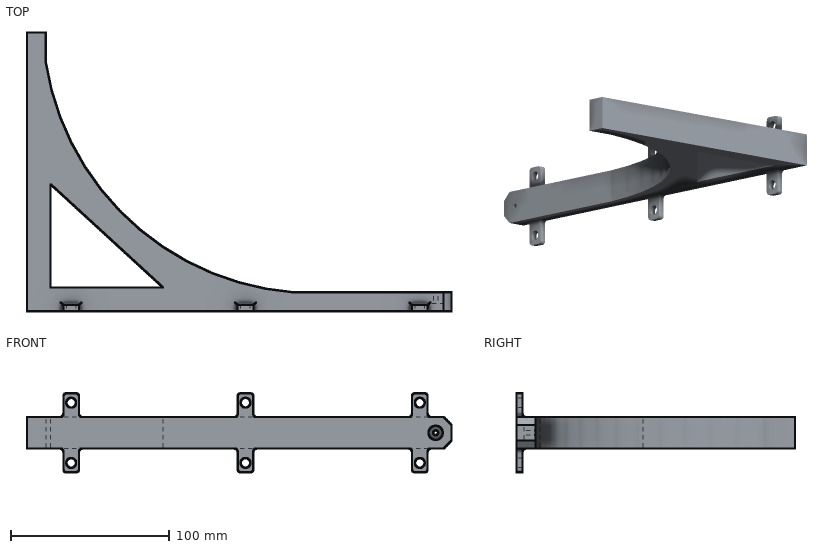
import cadquery as cq
import math

LONG_LEG = 267.92
SHORT_LEG = 176.0
LEG_THICKNESS = 12.0
BEAM_HEIGHT = 20.0
HALF_HEIGHT = BEAM_HEIGHT / 2

ARC_CENTER_X = 181.5
ARC_CENTER_Y = 183.0
ARC_RADIUS = 171.5

WINDOW_OFFSET = 15.0
WINDOW_LENGTH_X = 70.8
WINDOW_LENGTH_Y = 65.0

TIP_CHAMFER = 5.0
TIP_HOLE_FROM_END = 10.0
TIP_HOLE_DIAMETER = 3.0
COUNTERBORE_DIAMETER = 9.0
COUNTERBORE_DEPTH = 5.0

TAB_FIRST_X = 27.9
TAB_SPACING = 110.0
TAB_COUNT = 3
TAB_WIDTH = 10.0
TAB_SPAN = 50.0
TAB_THICKNESS = 4.0
TAB_CORNER_RADIUS = 2.0
TAB_ROOT_RADIUS = 2.0
TAB_HOLE_DIAMETER = 6.0
TAB_HOLE_Z = 19.0

TAB_POSITIONS = [TAB_FIRST_X + i * TAB_SPACING for i in range(TAB_COUNT)]


def make_frame():
    """L-shaped body with the concave arc between its legs."""
    arc_start_x = ARC_CENTER_X - math.sqrt(ARC_RADIUS**2 - (ARC_CENTER_Y - LEG_THICKNESS) ** 2)
    arc_end_y = ARC_CENTER_Y - math.sqrt(ARC_RADIUS**2 - (ARC_CENTER_X - LEG_THICKNESS) ** 2)
    diagonal = ARC_RADIUS * math.sqrt(0.5)
    return (
        cq.Workplane("XY", origin=(0, 0, -HALF_HEIGHT))
        .lineTo(LONG_LEG, 0)
        .lineTo(LONG_LEG, LEG_THICKNESS)
        .lineTo(arc_start_x, LEG_THICKNESS)
        .threePointArc((ARC_CENTER_X - diagonal, ARC_CENTER_Y - diagonal), (LEG_THICKNESS, arc_end_y))
        .lineTo(LEG_THICKNESS, SHORT_LEG)
        .lineTo(0, SHORT_LEG)
        .close()
        .extrude(BEAM_HEIGHT)
        .edges("|Y and >X")
        .chamfer(TIP_CHAMFER)
    )


def make_window():
    """Triangular prism removed from the web."""
    return (
        cq.Workplane("XY", origin=(WINDOW_OFFSET, WINDOW_OFFSET, -HALF_HEIGHT))
        .lineTo(WINDOW_LENGTH_X, 0)
        .lineTo(0, WINDOW_LENGTH_Y)
        .close()
        .extrude(BEAM_HEIGHT)
    )


def make_tab_pair(x):
    """Upright plate flush with the Y = 0 face; its ends form the upper and lower tab."""
    return (
        cq.Workplane("XY")
        .box(TAB_WIDTH, TAB_THICKNESS, TAB_SPAN, centered=(True, False, True))
        .edges("|Y")
        .fillet(TAB_CORNER_RADIUS)
        .translate((x, 0, 0))
    )


def fillet_tab_roots(body):
    """Round the sides and back of every tab where it meets the long leg."""
    margin = 0.1
    roots = cq.Workplane("XY")
    for x in TAB_POSITIONS:
        for z in (-HALF_HEIGHT, HALF_HEIGHT):
            root_zone = cq.selectors.BoxSelector(
                (x - TAB_WIDTH / 2 - margin, margin, z - margin),
                (x + TAB_WIDTH / 2 + margin, TAB_THICKNESS + margin, z + margin),
            )
            roots = roots.add(body.edges(root_zone))
    return body.newObject(roots.vals()).fillet(TAB_ROOT_RADIUS)


def cut_tab_holes(body):
    """Drill one hole through each tab along Y."""
    centers = [(x, z) for x in TAB_POSITIONS for z in (-TAB_HOLE_Z, TAB_HOLE_Z)]
    drills = cq.Workplane("XZ").pushPoints(centers).circle(TAB_HOLE_DIAMETER / 2).extrude(-TAB_THICKNESS)
    return body.cut(drills)


def cut_tip_hole(body):
    """Stepped hole along Y near the tip, its wide end on the Y = 0 face."""
    hole_plane = cq.Workplane("XZ", origin=(LONG_LEG - TIP_HOLE_FROM_END, 0, 0))
    through_hole = hole_plane.circle(TIP_HOLE_DIAMETER / 2).extrude(-LEG_THICKNESS)
    counterbore = hole_plane.circle(COUNTERBORE_DIAMETER / 2).extrude(-COUNTERBORE_DEPTH)
    return body.cut(through_hole).cut(counterbore)


bracket = make_frame().cut(make_window())
for tab_x in TAB_POSITIONS:
    bracket = bracket.union(make_tab_pair(tab_x))
bracket = fillet_tab_roots(bracket)
bracket = cut_tab_holes(bracket)
result = cut_tip_hole(bracket)